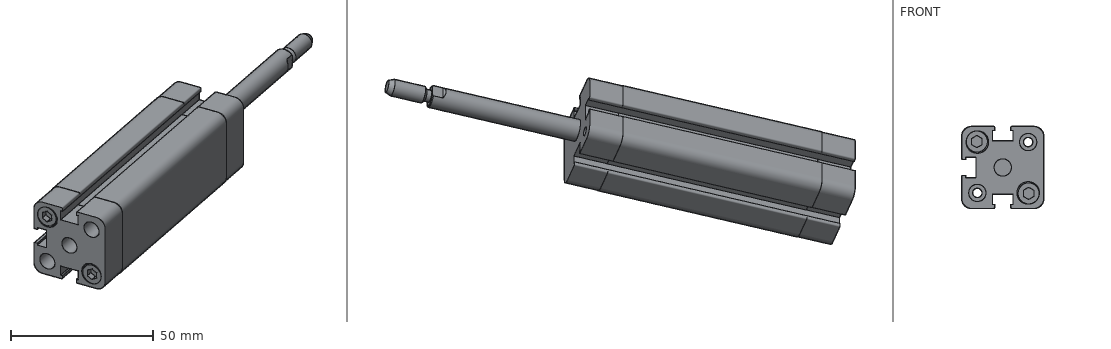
import cadquery as cq
import math

total_length = 168.5
housing_length = 98.2
cap_length = 12.3
rear_y = -total_length / 2
tip_y = total_length / 2
rod_start_y = rear_y + housing_length
barrel_length = housing_length - 2 * cap_length

cap_inset = 0.08
side = 29.0
half_side = side / 2
corner_radius = 3.5
slot_depth = 5.0
slot_width = 7.0
lip_depth = 1.5
lip_gap = 5.5
lip_rounding = 0.5

hole_offset = 9.0
center_hole_diameter = 6.0
center_hole_depth = 10.1
mount_bore_diameter = 6.0
mount_bore_depth = 10.1
mount_hole_diameter = 3.2
head_bore_diameter = 8.0
head_diameter = 7.4
head_offset = 9.1
head_gap_depth = 1.0
socket_flats = 3.7
socket_depth = 2.5

rod_diameter = 8.0
thread_diameter = 6.0
tip_diameter = 4.4
neck_diameter = 4.4
tip_taper_length = 2.0
thread_end = 13.3
thread_end_chamfer = 0.8
shoulder_chamfer = 0.3
shoulder = 15.8
flat_end = 19.7
flat_runout = 0.8
across_flats = 6.0


def extrude_along_y(draw_profile, start_y, length):
    """Extrude a profile towards +Y from start_y; its local x is X and its local y is Z."""
    plane = cq.Plane(origin=(0, start_y, 0), xDir=(1, 0, 0), normal=(0, -1, 0))
    return draw_profile(cq.Workplane(plane)).extrude(-length)


def slot_cutter(start_y, length, inset):
    """T-slot open to +Z, with the outer corners of its lips rounded."""
    top = half_side - inset
    lip_half = lip_gap / 2
    mouth_half = lip_half + lip_rounding
    slot_half = slot_width / 2
    floor = half_side - slot_depth - inset
    lip_bottom = half_side - lip_depth

    def profile(plane):
        return (
            plane.moveTo(-slot_half, floor)
            .lineTo(slot_half, floor)
            .lineTo(slot_half, lip_bottom)
            .lineTo(lip_half, lip_bottom)
            .lineTo(lip_half, top - lip_rounding)
            .radiusArc((mouth_half, top), lip_rounding)
            .lineTo(-mouth_half, top)
            .radiusArc((-lip_half, top - lip_rounding), lip_rounding)
            .lineTo(-lip_half, lip_bottom)
            .lineTo(-slot_half, lip_bottom)
            .close()
        )

    return extrude_along_y(profile, start_y, length)


def housing_section(start_y, length, inset):
    """Rounded square length with T-slots on the +Z, -X and -Z sides."""
    width = side - 2 * inset
    body = extrude_along_y(lambda plane: plane.rect(width, width), start_y, length)
    body = body.edges("|Y").fillet(corner_radius)
    cutter = slot_cutter(start_y, length, inset)
    for angle in (0, -90, 180):
        body = body.cut(cutter.rotate((0, 0, 0), (0, 1, 0), angle))
    return body


def hole(x, z, diameter, depth):
    """Cylinder to cut into the rear face."""
    return extrude_along_y(lambda plane: plane.center(x, z).circle(diameter / 2), rear_y, depth)


def screw_recess(x_sign, z_sign):
    """Gap between a screw head and its bore, plus the hexagon socket with corners towards +Z and -Z."""
    head_x = x_sign * head_offset
    head_z = z_sign * head_offset
    gap = hole(x_sign * hole_offset, z_sign * hole_offset, head_bore_diameter, head_gap_depth)
    gap = gap.cut(hole(head_x, head_z, head_diameter, head_gap_depth))
    corner_diameter = socket_flats / math.cos(math.pi / 6)
    socket = extrude_along_y(
        lambda plane: plane.center(head_x, head_z).transformed(rotate=(0, 0, 90)).polygon(6, corner_diameter),
        rear_y,
        socket_depth,
    )
    return gap.union(socket)


def rod():
    """Turned rod with tapered tip, chamfered thread, undercut neck and two wrench flats on the X sides."""
    steps = [
        (0, rod_start_y),
        (rod_diameter / 2, rod_start_y),
        (rod_diameter / 2, tip_y - shoulder - shoulder_chamfer),
        (rod_diameter / 2 - shoulder_chamfer, tip_y - shoulder),
        (neck_diameter / 2, tip_y - shoulder),
        (neck_diameter / 2, tip_y - thread_end - thread_end_chamfer),
        (thread_diameter / 2, tip_y - thread_end),
        (thread_diameter / 2, tip_y - tip_taper_length),
        (tip_diameter / 2, tip_y),
        (0, tip_y),
    ]
    turned = cq.Workplane("XY").polyline(steps).close().revolve(360, (0, 0), (0, 1))
    flat = (
        cq.Workplane("XY")
        .polyline([
            (across_flats / 2, tip_y - shoulder),
            (across_flats / 2, tip_y - flat_end),
            (rod_diameter / 2, tip_y - flat_end - flat_runout),
            (rod_diameter / 2, tip_y - shoulder),
        ])
        .close()
        .extrude(rod_diameter / 2, both=True)
    )
    return turned.cut(flat).cut(flat.mirror("YZ"))


housing = housing_section(rear_y, cap_length, cap_inset)
housing = housing.union(housing_section(rear_y + cap_length, barrel_length, 0))
housing = housing.union(housing_section(rod_start_y - cap_length, cap_length, cap_inset))

housing = housing.cut(hole(0, 0, center_hole_diameter, center_hole_depth))
for sign in (-1, 1):
    mount_x = mount_z = sign * hole_offset
    housing = housing.cut(hole(mount_x, mount_z, mount_hole_diameter, housing_length))
    housing = housing.cut(hole(mount_x, mount_z, mount_bore_diameter, mount_bore_depth))
    housing = housing.cut(screw_recess(sign, -sign))

result = housing.union(rod())